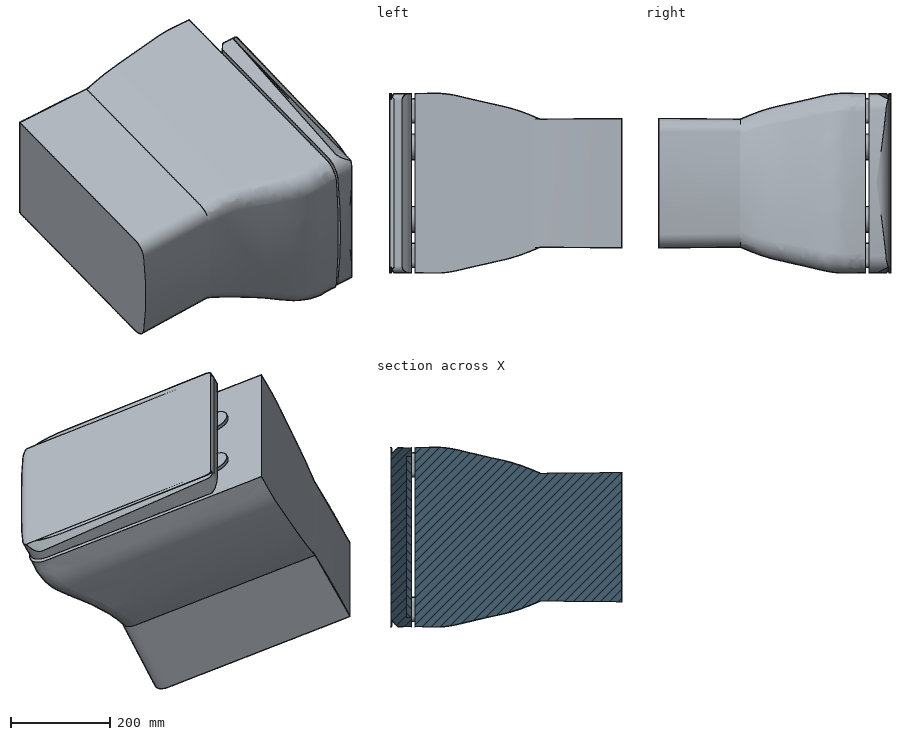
import cadquery as cq
import math

seam_y = 165.0
rim_y = 417.5
seam_station = (seam_y, 436.5, 129.0, 30.0, 7.0)
base_stations = [(0, 442.0, 130.5, 30.0, 7.0), seam_station]
bowl_stations = [
    seam_station,
    (189, 440.0, 139.0, 31.0, 7.0),
    (215, 448.0, 148.5, 32.5, 7.0),
    (278, 480.5, 163.0, 35.5, 7.0),
    (325.5, 508.0, 175.0, 37, 6.5),
    (353.5, 519.0, 180.0, 37, 6.5),
    (383, 523.5, 181.35, 37, 6.5),
    (rim_y, 523.0, 180.5, 37, 6.5),
]
back_bulge = 1.5
back_bulge_top = 174.5

cover_bottom = 423.5
cover_back = 86.0
cover_front = 522.0
cover_half_width = 180.5
cover_back_top = 468.0
cover_front_top = 463.0
cover_top_round = 23.5
cover_corner = 37
cover_crown = 9.0
back_corner = 13.5
back_lip_x = 3.0
back_lip_y = 9.5
back_bevel_x = 10.5
back_bevel_y = 19.5
back_bevel_end_x = 21
back_bevel_end_y = 8.0
crease_back_y = 460.0
crease_front_y = 439.5
crease_inset = 11.5
side_lip = 1.0
groove_drop = 3.0

seat_back = 110
seat_front = 493.5
seat_half_width = 162.5
seat_thickness = 10.5
seat_corner = 31.5
hinge_x = 100.0
hinge_z = 73.0
hinge_radius = 26
buffer_xs = (232.0, 412.0)
buffer_z = 145.5
buffer_length = 49.5
buffer_width = 21
pad_height = cover_bottom - rim_y


def plan_plane(y):
    """Plane parallel to the floor, with local axes X and Z."""
    return cq.Workplane("XZ", origin=(0, y, 0))


def rounded_front(plane, back, front, half_width, corner, crown):
    """Outline with a straight back, rounded front corners and a bowed front."""
    corner_front = front - crown
    side_end = corner_front - corner
    front_z = half_width - corner
    diagonal = math.sqrt(0.5)
    mid_x = side_end + diagonal * corner
    mid_z = front_z + diagonal * corner
    return (
        plane.moveTo(back, -half_width)
        .lineTo(side_end, -half_width)
        .threePointArc((mid_x, -mid_z), (corner_front, -front_z))
        .threePointArc((front, 0), (corner_front, front_z))
        .threePointArc((mid_x, mid_z), (side_end, half_width))
        .lineTo(back, half_width)
        .close()
    )


def loft_stations(stations):
    wires = []
    for y, front, half_width, corner, crown in stations:
        outline = rounded_front(plan_plane(y), 0, front, half_width, corner, crown)
        wires.append(outline.val())
    return cq.Workplane(cq.Solid.makeLoft(wires, len(stations) == 2))


def make_bowl():
    """Pedestal and flared bowl, one solid with a crease at the seam."""
    half_width = seam_station[2]
    bulge = (
        cq.Workplane("XY")
        .moveTo(0, 0)
        .threePointArc((-back_bulge, back_bulge_top / 2), (0, back_bulge_top))
        .lineTo(back_bulge, back_bulge_top)
        .lineTo(back_bulge, 0)
        .close()
        .extrude(half_width, both=True)
    )
    return loft_stations(base_stations).union(loft_stations(bowl_stations)).union(bulge)


def make_seat():
    """Seat plate with two hinge discs and four elongated buffers below it."""
    length = seat_front - seat_back
    plate = (
        plan_plane(cover_bottom)
        .center((seat_back + seat_front) / 2, 0)
        .rect(length, 2 * seat_half_width)
        .extrude(-seat_thickness)
        .edges("|Y and >X")
        .fillet(seat_corner)
    )
    hinges = (
        plan_plane(rim_y)
        .pushPoints([(hinge_x, side * hinge_z) for side in (-1, 1)])
        .circle(hinge_radius)
        .extrude(-pad_height)
    )
    buffers = (
        plan_plane(rim_y)
        .pushPoints([(x, side * buffer_z) for x in buffer_xs for side in (-1, 1)])
        .slot2D(buffer_length, buffer_width, 90)
        .extrude(-pad_height)
    )
    return plate.union(hinges).union(buffers)


def side_groove(side):
    """Side groove, under a thin lip at the back and opening to a bevel at the front."""
    def triangle(x, crease_y, lip_y, inner_y):
        outer = side * cover_half_width
        inner = outer - side * crease_inset
        points = [(x, crease_y, outer), (x, lip_y, outer), (x, inner_y, inner)]
        return cq.Wire.makePolygon([cq.Vector(*point) for point in points], close=True)

    wires = [
        triangle(cover_back, crease_back_y, cover_back_top - side_lip, cover_back_top - groove_drop),
        triangle(cover_front, crease_front_y, cover_front_top, cover_front_top),
    ]
    return cq.Workplane(cq.Solid.makeLoft(wires, True))


def make_cover(seat):
    """Sloping lid with a bevelled back, rounded front and a recess for the seat."""
    plan = rounded_front(
        plan_plane(cover_bottom), cover_back, cover_front, cover_half_width,
        cover_corner, cover_crown,
    )
    blank = plan.extrude(cover_bottom - cover_back_top).edges("|Y and <X").fillet(back_corner)
    round_start = cover_front - cover_top_round
    round_mid = math.sqrt(0.5) * cover_top_round
    round_y = cover_front_top - cover_top_round
    profile = (
        cq.Workplane("XY")
        .moveTo(cover_back + back_bevel_end_x, cover_bottom)
        .lineTo(cover_front, cover_bottom)
        .lineTo(cover_front, round_y)
        .threePointArc((round_start + round_mid, round_y + round_mid), (round_start, cover_front_top))
        .lineTo(cover_back + back_lip_x, cover_back_top)
        .lineTo(cover_back, cover_back_top - back_lip_y)
        .lineTo(cover_back, cover_bottom + back_bevel_y)
        .lineTo(cover_back + back_bevel_x, cover_bottom + back_bevel_end_y)
        .close()
        .extrude(cover_half_width, both=True)
    )
    cover = blank.intersect(profile)
    for side in (-1, 1):
        cover = cover.cut(side_groove(side))
    return cover.cut(seat)


bowl = make_bowl()
seat = make_seat()
cover = make_cover(seat)
result = cq.Compound.makeCompound([bowl.val(), seat.val(), cover.val()])